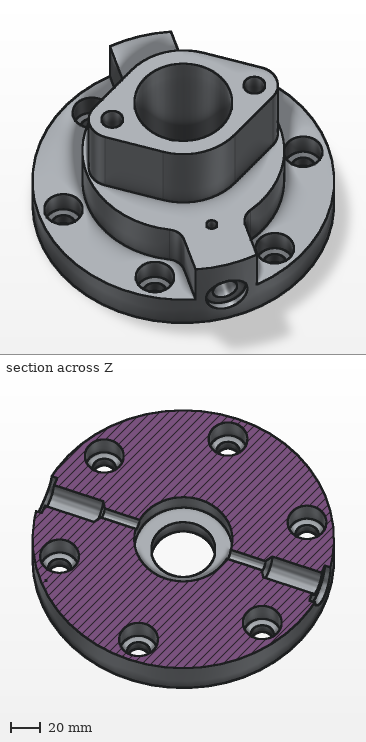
import cadquery as cq
import math

FLANGE_DIAMETER = 203.5
FLANGE_HEIGHT = 25.6
BOLT_COUNT = 6
BOLT_CIRCLE_RADIUS = 84.5
BOLT_HOLE_DIAMETER = 15.9
BOLT_HEAD_DIAMETER = 25.8
BOLT_HEAD_DEPTH = 16.7

COLLAR_DIAMETER = 136.0
COLLAR_TOP = 58.5
ARM_WIDTH = 43.1
ARM_FILLET = 12.2

TOTAL_HEIGHT = 111.7
NECK_RADIUS = 44.3
TIP_RADIUS = 15.9
TIP_OFFSET = 50.0
TIP_HOLE_DIAMETER = 14.5
TIP_HOLE_DEPTH = 28.5
DRILL_POINT_ANGLE = 118.0

BORE_DIAMETER = 66.0
LOWER_BORE_DIAMETER = 43.1
BORE_FLOOR = 12.2

PORT_HEIGHT = FLANGE_HEIGHT
SPOTFACE_DIAMETER = 29.0
SPOTFACE_DEPTH = 5.0
PORT_DIAMETER = 17.0
PORT_DEPTH = 40.7
PASSAGE_DIAMETER = 7.1
VENT_DIAMETER = 7.3
VENT_OFFSET = 66.0


def cylinder(diameter, bottom, top, x=0.0, y=0.0):
    """Vertical cylinder between two heights."""
    return cq.Workplane("XY", origin=(x, y, bottom)).circle(diameter / 2).extrude(top - bottom)


def drill(diameter, depth):
    """Drill pointing down from the origin, with a cone below its full-diameter depth."""
    radius = diameter / 2
    point_length = radius / math.tan(math.radians(DRILL_POINT_ANGLE / 2))
    profile = [(0, 0), (radius, 0), (radius, -depth), (0, -depth - point_length)]
    return cq.Workplane("XZ").polyline(profile).close().revolve(360, (0, 0), (0, 1))


def collar_with_arms():
    height = COLLAR_TOP - FLANGE_HEIGHT
    rim = cylinder(FLANGE_DIAMETER, FLANGE_HEIGHT, COLLAR_TOP)
    arms = (
        cq.Workplane("XY", origin=(0, 0, FLANGE_HEIGHT))
        .rect(2 * FLANGE_DIAMETER, ARM_WIDTH)
        .extrude(height)
        .intersect(rim)
    )
    body = cylinder(COLLAR_DIAMETER, FLANGE_HEIGHT, COLLAR_TOP).union(arms)
    corner_y = ARM_WIDTH / 2
    corner_x = math.sqrt((COLLAR_DIAMETER / 2) ** 2 - corner_y**2)
    middle = (FLANGE_HEIGHT + COLLAR_TOP) / 2
    for side_x in (-1, 1):
        for side_y in (-1, 1):
            corner = (side_x * corner_x, side_y * corner_y, middle)
            body = body.edges(cq.selectors.NearestToPointSelector(corner)).fillet(ARM_FILLET)
    return body


def neck():
    """Large round joined to two small end rounds by tangent flats."""
    normal_y = (NECK_RADIUS - TIP_RADIUS) / TIP_OFFSET
    normal_x = math.sqrt(1 - normal_y**2)
    side_x = NECK_RADIUS * normal_x
    side_y = NECK_RADIUS * normal_y
    tip_x = TIP_RADIUS * normal_x
    tip_y = TIP_OFFSET + TIP_RADIUS * normal_y
    tip_end = TIP_OFFSET + TIP_RADIUS
    return (
        cq.Workplane("XY", origin=(0, 0, COLLAR_TOP))
        .moveTo(side_x, -side_y)
        .threePointArc((NECK_RADIUS, 0), (side_x, side_y))
        .lineTo(tip_x, tip_y)
        .threePointArc((0, tip_end), (-tip_x, tip_y))
        .lineTo(-side_x, side_y)
        .threePointArc((-NECK_RADIUS, 0), (-side_x, -side_y))
        .lineTo(-tip_x, -tip_y)
        .threePointArc((0, -tip_end), (tip_x, -tip_y))
        .close()
        .extrude(TOTAL_HEIGHT - COLLAR_TOP)
    )


def central_bore():
    lower = cylinder(LOWER_BORE_DIAMETER, 0, TOTAL_HEIGHT)
    return lower.union(cylinder(BORE_DIAMETER, BORE_FLOOR, TOTAL_HEIGHT))


def bolt_hole(angle):
    x = BOLT_CIRCLE_RADIUS * math.cos(angle)
    y = BOLT_CIRCLE_RADIUS * math.sin(angle)
    shank = cylinder(BOLT_HOLE_DIAMETER, 0, FLANGE_HEIGHT, x, y)
    head = cylinder(BOLT_HEAD_DIAMETER, FLANGE_HEIGHT - BOLT_HEAD_DEPTH, FLANGE_HEIGHT, x, y)
    return shank.union(head)


def side_port():
    """Spotface, drilled port and passage from the -X rim to the central bore."""
    rim_radius = FLANGE_DIAMETER / 2
    face = cq.Workplane("YZ", origin=(-rim_radius, 0, PORT_HEIGHT))
    spotface = face.circle(SPOTFACE_DIAMETER / 2).extrude(SPOTFACE_DEPTH)
    passage = face.circle(PASSAGE_DIAMETER / 2).extrude(rim_radius)
    port = (
        drill(PORT_DIAMETER, PORT_DEPTH)
        .rotate((0, 0, 0), (0, 1, 0), -90)
        .translate((-rim_radius, 0, PORT_HEIGHT))
    )
    vent = cylinder(VENT_DIAMETER, PORT_HEIGHT, COLLAR_TOP, -VENT_OFFSET)
    return spotface.union(passage).union(port).union(vent)


result = cylinder(FLANGE_DIAMETER, 0, FLANGE_HEIGHT).union(collar_with_arms()).union(neck())
result = result.cut(central_bore())

for index in range(BOLT_COUNT):
    result = result.cut(bolt_hole(math.pi / 2 + index * 2 * math.pi / BOLT_COUNT))

tip_hole = drill(TIP_HOLE_DIAMETER, TIP_HOLE_DEPTH)
for tip_y in (-TIP_OFFSET, TIP_OFFSET):
    result = result.cut(tip_hole.translate((0, tip_y, TOTAL_HEIGHT)))

port_cutter = side_port()
for turn in (0, 180):
    result = result.cut(port_cutter.rotate((0, 0, 0), (0, 0, 1), turn))